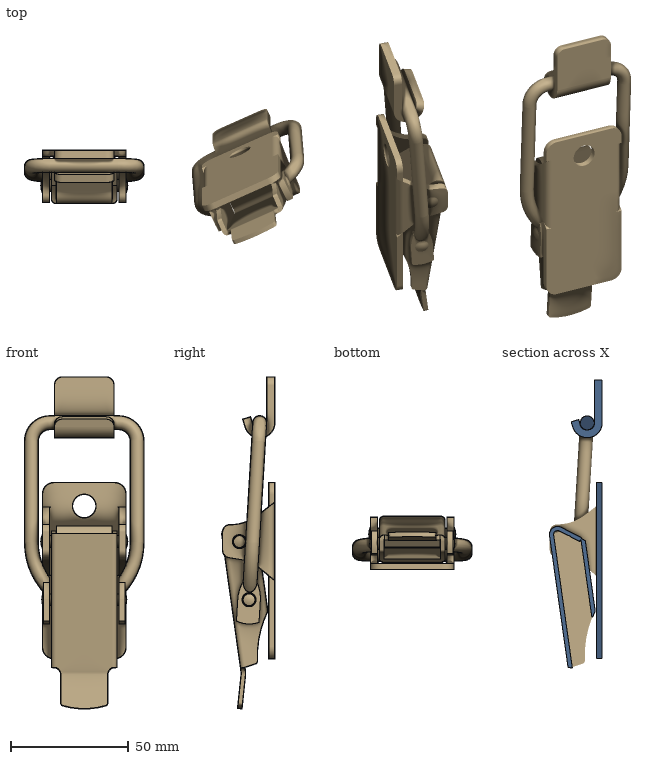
import cadquery as cq
import math


wire_radius = 3.0
hook_thickness = 3.5
hook_width = 25.5
hook_top = 141.5
hook_corner_radius = 3.5
hook_bend_z = 122.0
hook_bend_y = -(hook_thickness + wire_radius)
hook_lip_tilt = 17.0
hook_lip_length = 3.5
hook_lip_corner_radius = 3.4

base_sheet = 2.7
base_width = 35.7
base_bottom = 21.4
base_top = 96.5
base_corner_radius = 5.0
mount_hole_radius = 5.0
mount_hole_z = 86.5

flange_inner_x = 14.7
flange_front = -22.4
flange_corner_radius = 3.1
flange_root_top = 88.2
flange_root_bottom = 54.6
flange_top = 78.5
flange_top_curve_start = (-7.6, 82.4)
flange_top_curve_end_y = -19.1
flange_bottom_front = 65.0
flange_bottom_curve_start = (-13.0, 63.4)
flange_bottom_curve_middle = (-10.2, 62.5)
flange_bottom_curve_end = (-7.8, 61.0)
flange_bend_inner_radius = 0.4

lever_pivot_y = -15.1
lever_pivot_z = 71.3
bail_pivot_y = -11.0
bail_pivot_z = 46.5

bail_half_width = 25.5
bail_corner_radius = 7.9
bail_straight_end = 51.2
bail_entry_radius = 28.6
bail_entry_angle = 52.0
tab_thickness = 2.7
tab_half_depth = 4.8
tab_neck_half_depth = 3.1
tab_rise = 7.2
tab_side_drop = 9.3
tab_end_drop = 10.3

lever_tilt = 8.0
lever_sheet = 2.0
lever_width = 28.0
lever_front = -7.1
lever_depth = 15.0
lever_corner_radius = 2.0
lever_shoulder = -53.3
lever_wall_top = 4.4
lever_wall_slope_start = 0.7
lever_back_bottom = -31.0
lever_tail_curve_middle = (3.5, -39.2)
lever_tail_corner = (0.5, -52.4)
lever_tail_corner_radius = 1.4
lever_shoulder_start = -4.7
flap_width = 23.8
flap_bend_radius = 3.5
flap_bend_height = 3.5
flap_slope = 35.0
tip_width = 20.1
tip_kink_height = -55.8
tip_kink_angle = 14.0
tip_kink_radius = 4.2
tip_end_radius = 32.5
tip_corner_radius = 1.4
tip_neck_radius = 3.0

shank_radius = 2.5
head_radius = 3.0
head_height = 0.7

base_half_width = base_width / 2
lever_half_width = lever_width / 2
lever_inner_x = lever_half_width - lever_sheet
tab_outer_x = flange_inner_x + tab_thickness


def sine(degrees):
    return math.sin(math.radians(degrees))


def cosine(degrees):
    return math.cos(math.radians(degrees))


def tangent(degrees):
    return math.tan(math.radians(degrees))


def polar(center, radius, degrees):
    return center[0] + radius * cosine(degrees), center[1] + radius * sine(degrees)


def nearest(x, y, z):
    return cq.NearestToPointSelector((x, y, z))


def side_prism(half_width):
    """Sketch plane for (Y, Z) outlines, ready to extrude twice the half width across X."""
    return cq.Workplane("YZ").workplane(offset=-half_width)


def pin_hole(y, z):
    return side_prism(base_width).center(y, z).circle(shank_radius).extrude(2 * base_width)


def make_hook():
    center = (hook_bend_y, hook_bend_z)
    inner = wire_radius
    outer = inner + hook_thickness
    lip_angle = 180 + hook_lip_tilt
    bend_middle_angle = (360 + lip_angle) / 2
    lip_direction = lip_angle - 90
    outer_start = polar(center, outer, lip_angle)
    inner_start = polar(center, inner, lip_angle)
    outer_end = polar(outer_start, hook_lip_length, lip_direction)
    inner_end = polar(inner_start, hook_lip_length, lip_direction)
    hook = (
        side_prism(hook_width / 2)
        .moveTo(0, hook_top)
        .lineTo(0, hook_bend_z)
        .threePointArc(polar(center, outer, bend_middle_angle), outer_start)
        .lineTo(*outer_end)
        .lineTo(*inner_end)
        .lineTo(*inner_start)
        .threePointArc(polar(center, inner, bend_middle_angle), (-hook_thickness, hook_bend_z))
        .lineTo(-hook_thickness, hook_top)
        .close()
        .extrude(hook_width)
    )
    lip_y = (outer_end[0] + inner_end[0]) / 2
    lip_z = (outer_end[1] + inner_end[1]) / 2
    for x in (-hook_width / 2, hook_width / 2):
        hook = hook.edges(nearest(x, -hook_thickness / 2, hook_top)).fillet(hook_corner_radius)
        hook = hook.edges(nearest(x, lip_y, lip_z)).fillet(hook_lip_corner_radius)
    return hook


def make_flange():
    return (
        cq.Workplane("YZ")
        .workplane(offset=flange_inner_x)
        .moveTo(0, flange_root_top)
        .lineTo(*flange_top_curve_start)
        .tangentArcPoint((flange_top_curve_end_y, flange_top), relative=False)
        .lineTo(flange_front, flange_top)
        .lineTo(flange_front, flange_bottom_front)
        .lineTo(*flange_bottom_curve_start)
        .threePointArc(flange_bottom_curve_middle, flange_bottom_curve_end)
        .lineTo(0, flange_root_bottom)
        .close()
        .extrude(base_half_width - flange_inner_x)
        .edges("|X and <Y")
        .fillet(flange_corner_radius)
    )


def make_base():
    plate = (
        cq.Workplane("XZ")
        .center(0, (base_bottom + base_top) / 2)
        .rect(base_width, base_top - base_bottom)
        .extrude(base_sheet)
        .edges("|Y")
        .fillet(base_corner_radius)
    )
    hole = cq.Workplane("XZ").center(0, mount_hole_z).circle(mount_hole_radius).extrude(base_sheet)
    flange = make_flange()
    plate = plate.cut(hole).cut(flange).cut(flange.mirror("YZ"))
    flange = flange.edges("|Z and >X and >Y").fillet(base_sheet)
    base = plate.union(flange).union(flange.mirror("YZ"))
    for x in (-flange_inner_x, flange_inner_x):
        inner_bend = nearest(x, -base_sheet, (flange_root_top + flange_root_bottom) / 2)
        base = base.edges(inner_bend).fillet(flange_bend_inner_radius)
    return base.cut(pin_hole(lever_pivot_y, lever_pivot_z))


def make_bail():
    pivot_run = math.hypot(bail_pivot_y - hook_bend_y, bail_pivot_z - hook_bend_z)
    tilt = math.degrees(math.atan2(hook_bend_y - bail_pivot_y, hook_bend_z - bail_pivot_z))
    leg_x = bail_half_width - wire_radius
    entry_center = (leg_x - bail_entry_radius, -bail_straight_end)
    half_wire = (
        cq.Workplane("XZ")
        .moveTo(0, 0)
        .lineTo(leg_x - bail_corner_radius, 0)
        .tangentArcPoint((leg_x, -bail_corner_radius), relative=False)
        .lineTo(leg_x, -bail_straight_end)
        .tangentArcPoint(polar(entry_center, bail_entry_radius, -bail_entry_angle), relative=False)
    )
    half = cq.Workplane("YZ").circle(wire_radius).sweep(half_wire)
    inside = (
        cq.Workplane("XY")
        .workplane(offset=-bail_straight_end)
        .rect(2 * flange_inner_x, 6 * wire_radius)
        .extrude(-pivot_run)
    )
    half = half.cut(inside)
    neck_step = tab_half_depth - tab_neck_half_depth
    tab_side_radius = (neck_step**2 + tab_rise**2) / (2 * neck_step)
    tab = (
        cq.Workplane("YZ")
        .workplane(offset=flange_inner_x)
        .moveTo(tab_half_depth, -tab_side_drop)
        .lineTo(tab_half_depth, 0)
        .radiusArc((tab_neck_half_depth, tab_rise), -tab_side_radius)
        .lineTo(-tab_neck_half_depth, tab_rise)
        .radiusArc((-tab_half_depth, 0), -tab_side_radius)
        .lineTo(-tab_half_depth, -tab_side_drop)
        .threePointArc((0, -tab_end_drop), (tab_half_depth, -tab_side_drop))
        .close()
        .extrude(tab_thickness)
        .translate((0, 0, -pivot_run))
    )
    half = half.union(tab)
    bail = half.union(half.mirror("YZ"))
    bail = bail.rotate((0, 0, 0), (1, 0, 0), -tilt).translate((0, hook_bend_y, hook_bend_z))
    return bail.cut(pin_hole(bail_pivot_y, bail_pivot_z))


def lever_channel():
    back = lever_front + lever_depth
    tube_center = lever_front + lever_depth / 2
    tube = (
        cq.Workplane("XY")
        .workplane(offset=lever_shoulder)
        .center(0, tube_center)
        .rect(lever_width, lever_depth)
        .extrude(lever_wall_top - lever_shoulder)
        .edges("|Z")
        .fillet(lever_corner_radius)
    )
    bore = (
        cq.Workplane("XY")
        .workplane(offset=lever_shoulder)
        .center(0, tube_center)
        .rect(lever_width - 2 * lever_sheet, lever_depth - 2 * lever_sheet)
        .extrude(lever_wall_top - lever_shoulder)
    )
    slope_drop = (back - lever_wall_slope_start) * tangent(flap_slope)
    outline = (
        side_prism(lever_half_width)
        .moveTo(lever_front, lever_wall_top)
        .lineTo(lever_wall_slope_start, lever_wall_top)
        .lineTo(back, lever_wall_top - slope_drop)
        .lineTo(back, lever_back_bottom)
        .threePointArc(lever_tail_curve_middle, lever_tail_corner)
        .lineTo(lever_shoulder_start, lever_shoulder)
        .lineTo(lever_front, lever_shoulder)
        .close()
        .extrude(lever_width)
        .edges(nearest(0, *lever_tail_corner))
        .fillet(lever_tail_corner_radius)
    )
    return tube.cut(bore).intersect(outline)


def tip_length(middle):
    """Length of the tip, from its kink, that puts its lowest edge at Z = 0."""
    lean = tip_kink_angle - lever_tilt
    kink_z = lever_pivot_z + middle * sine(lever_tilt) + tip_kink_height * cosine(lever_tilt)
    return (kink_z - lever_sheet / 2 * sine(lean)) / cosine(lean)


def tip_blank(tip_plane, length):
    """Outline that narrows the strip to the rounded tip; it is wider than the strip above the neck."""
    half_tip = tip_width / 2
    sagitta = tip_end_radius - math.sqrt(tip_end_radius**2 - half_tip**2)
    neck_top = length + lever_shoulder - tip_kink_height
    neck_bottom = neck_top - tip_neck_radius
    wide_half = half_tip + tip_neck_radius
    blank_top = lever_wall_top + flap_bend_radius - lever_shoulder + neck_top
    blank = (
        cq.Workplane(tip_plane)
        .moveTo(-half_tip, sagitta)
        .threePointArc((0, 0), (half_tip, sagitta))
        .lineTo(half_tip, neck_bottom)
        .radiusArc((wide_half, neck_top), tip_neck_radius)
        .lineTo(wide_half, blank_top)
        .lineTo(-wide_half, blank_top)
        .lineTo(-wide_half, neck_top)
        .radiusArc((-half_tip, neck_bottom), tip_neck_radius)
        .close()
        .extrude(2 * lever_depth, both=True)
    )
    for x in (-half_tip, half_tip):
        corner = tip_plane.toWorldCoords((x, sagitta))
        blank = blank.edges(nearest(*corner.toTuple())).fillet(tip_corner_radius)
    return blank


def lever_strip():
    """Front sheet in one piece: tip, kink, lever face, rolled-over end and flap."""
    middle = lever_front + lever_sheet / 2
    length = tip_length(middle)
    kink_setback = tip_kink_radius * tangent(tip_kink_angle / 2)
    kink = (middle, tip_kink_height)
    tip_end = polar(kink, length, 270 - tip_kink_angle)
    bend_radius = flap_bend_radius - lever_sheet / 2
    bend_center = (lever_front + flap_bend_radius, flap_bend_height)
    bend_end = polar(bend_center, bend_radius, 90 - flap_slope)
    flap_run = lever_front + lever_depth - lever_sheet - bend_end[0]
    path = (
        cq.Workplane("YZ")
        .moveTo(*tip_end)
        .lineTo(*polar(kink, kink_setback, 270 - tip_kink_angle))
        .tangentArcPoint((middle, tip_kink_height + kink_setback), relative=False)
        .lineTo(middle, flap_bend_height)
        .tangentArcPoint(bend_end, relative=False)
        .line(flap_run, -flap_run * tangent(flap_slope))
    )
    along_tip = (0, sine(tip_kink_angle), cosine(tip_kink_angle))
    across_tip = (0, -cosine(tip_kink_angle), sine(tip_kink_angle))
    strip = (
        cq.Workplane(cq.Plane((0, *tip_end), (1, 0, 0), along_tip))
        .rect(flap_width, lever_sheet)
        .sweep(path)
    )
    tip_plane = cq.Plane((0, *tip_end), (1, 0, 0), across_tip)
    return strip.intersect(tip_blank(tip_plane, length))


def make_lever():
    lever = lever_channel().union(lever_strip())
    lever = lever.rotate((0, 0, 0), (1, 0, 0), lever_tilt).translate((0, lever_pivot_y, lever_pivot_z))
    return lever.cut(pin_hole(lever_pivot_y, lever_pivot_z)).cut(pin_hole(bail_pivot_y, bail_pivot_z))


def make_rivet(y, z, seat_x, side):
    dome_radius = (head_radius**2 + head_height**2) / (2 * head_height)
    dome_middle = head_height - dome_radius + math.sqrt(dome_radius**2 - (head_radius / 2) ** 2)
    rivet = (
        cq.Workplane("XY")
        .moveTo(lever_inner_x, 0)
        .lineTo(lever_inner_x, shank_radius)
        .lineTo(seat_x, shank_radius)
        .lineTo(seat_x, head_radius)
        .threePointArc((seat_x + dome_middle, head_radius / 2), (seat_x + head_height, 0))
        .close()
        .revolve(360, (0, 0, 0), (1, 0, 0))
    )
    if side < 0:
        rivet = rivet.mirror("YZ")
    return rivet.translate((0, y, z))


hook = make_hook()
base = make_base()
bail = make_bail()
lever = make_lever()
rivets = []
for side in (-1, 1):
    rivets.append(make_rivet(lever_pivot_y, lever_pivot_z, base_half_width, side))
    rivets.append(make_rivet(bail_pivot_y, bail_pivot_z, tab_outer_x, side))

bodies = [hook, base, bail, lever, *rivets]
result = cq.Compound.makeCompound([body.solids().val() for body in bodies])